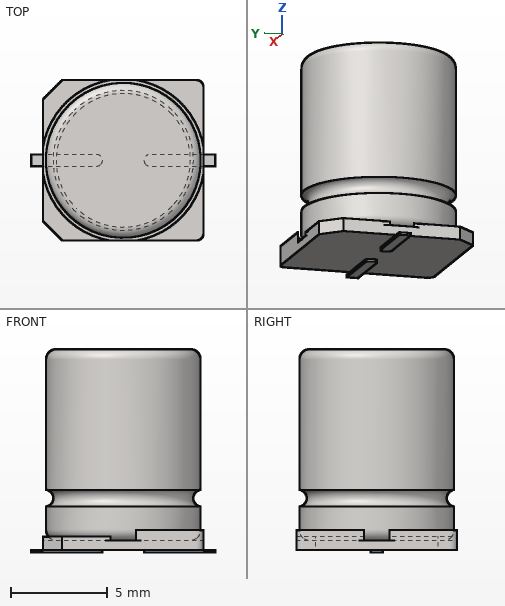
import cadquery as cq

can_radius = 4.0
can_top = 10.51
can_edge_fillet = 0.54

groove_height = 2.81
groove_half_width = 0.43
groove_depth = 0.38

base_size = 8.3
base_chamfer = 1.0
base_corner_radius = 0.38
base_low_top = 0.82
base_high_top = 1.16

seat_radius = 4.2
seat_floor = 0.63

lead_span = 9.5
lead_gap = 2.16
lead_width = 0.62
lead_thickness = 0.13


def make_base():
    """Plate with two chamfered corners at -X, raised over its +X half, with a round seat."""
    half_size = base_size / 2
    plate = (
        cq.Workplane("XY")
        .workplane(offset=lead_thickness)
        .rect(base_size, base_size)
        .extrude(base_high_top - lead_thickness)
        .edges("|Z and <X")
        .chamfer(base_chamfer)
        .edges("|Z and >X")
        .fillet(base_corner_radius)
    )
    low_half = (
        cq.Workplane("XY")
        .workplane(offset=base_low_top)
        .center(-half_size / 2, 0)
        .rect(half_size, base_size)
        .extrude(base_high_top - base_low_top)
    )
    seat = (
        cq.Workplane("XY")
        .workplane(offset=seat_floor)
        .circle(seat_radius)
        .extrude(base_high_top - seat_floor)
    )
    return plate.cut(low_half).cut(seat)


def make_can():
    """Cylinder with rounded rims and a crimp groove, standing on the seat floor."""
    can = (
        cq.Workplane("XY")
        .workplane(offset=seat_floor)
        .circle(can_radius)
        .extrude(can_top - seat_floor)
        .edges("%CIRCLE")
        .fillet(can_edge_fillet)
    )
    groove = (
        cq.Workplane("XZ")
        .moveTo(can_radius, groove_height - groove_half_width)
        .threePointArc(
            (can_radius - groove_depth, groove_height),
            (can_radius, groove_height + groove_half_width),
        )
        .close()
        .revolve(360, (0, 0, 0), (0, 1, 0))
    )
    return can.cut(groove)


def make_lead(side):
    """Flat lead pointing out along X (side is -1 or +1), with a round inner end."""
    outer_x = side * lead_span / 2
    round_center_x = side * (lead_gap + lead_width) / 2
    inner_x = side * lead_gap / 2
    half_width = lead_width / 2
    return (
        cq.Workplane("XY")
        .moveTo(outer_x, -half_width)
        .lineTo(round_center_x, -half_width)
        .threePointArc((inner_x, 0), (round_center_x, half_width))
        .lineTo(outer_x, half_width)
        .close()
        .extrude(lead_thickness)
    )


result = make_base().union(make_can())
for side in (-1, 1):
    result = result.union(make_lead(side))